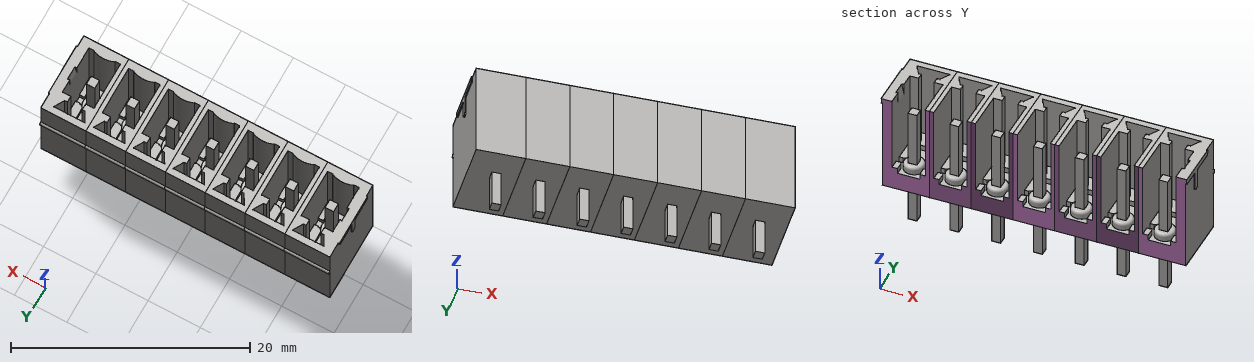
import cadquery as cq

module_count = 7
pin_row_span = 22.85
pitch = pin_row_span / (module_count - 1)
overall_length = 27.85
label_thickness = 0.1
row_length = overall_length - 2 * label_thickness
end_wall_extra = (row_length - module_count * pitch) / 2

body_depth = 7.4
body_height = 9.2
ridge_radius = 0.22
ridge_inset = 0.03
ridge_z = body_height - 3.4

pin_side = 0.8
pin_y = 2.75
pin_tail = 3.5
pin_top_z = body_height - 1.5

cavity_width = 3.0
cavity_front_y = 0.75
cavity_back_y = 5.3
cavity_floor_z = 2.23

dovetail_back_y = 6.8
dovetail_front_y = 5.88
dovetail_front_width = 1.95
neck_width = 1.42

recess_depth = 0.5
recess_floor_z = cavity_floor_z - recess_depth
cross_front_y = 2.4
cross_back_y = 3.05
channel_back_y = cavity_back_y - 0.08
throat_mouth_width = 2.28
throat_length = 0.2
front_recess_width = 2.0
recess_corner_radius = 0.1

bulge_step = 0.042
bulge_height = 0.25

collar_radius = 0.95
collar_height = 0.7
collar_fillet = 0.28

notch_front_y = 2.8
notch_back_y = 4.05
notch_depth = 0.2
notch_height = 1.0

label_y = 3.5
bar_width = 4.85
bar_height = 0.5
bar_corner_radius = 0.25
stem_width = 0.53
label_height = 2.37
stem_end_radius = 0.22
label_inner_radius = 0.15

select_margin = 0.03


def box(x_min, x_max, y_min, y_max, z_min, z_max):
    """Axis-aligned box from its limits."""
    size_x, size_y, size_z = x_max - x_min, y_max - y_min, z_max - z_min
    return cq.Workplane("XY").box(size_x, size_y, size_z, centered=False).translate((x_min, y_min, z_min))


def make_block(x_min, x_max):
    """Plain housing block with the round ridge on its back."""
    block = box(x_min, x_max, 0, body_depth, 0, body_height)
    ridge = (
        cq.Workplane("YZ", origin=(x_min, body_depth - ridge_inset, ridge_z))
        .circle(ridge_radius)
        .extrude(x_max - x_min)
    )
    return block.union(ridge)


def make_cavity():
    """Rectangular socket opening, with the front bulge left standing."""
    half_width = cavity_width / 2
    half_bulge = front_recess_width / 2
    return (
        cq.Workplane("XY", origin=(0, 0, cavity_floor_z))
        .moveTo(-half_width, cavity_front_y)
        .lineTo(-half_bulge, cavity_front_y)
        .lineTo(-half_bulge, cavity_front_y + bulge_step)
        .threePointArc((0, cavity_front_y + bulge_height), (half_bulge, cavity_front_y + bulge_step))
        .lineTo(half_bulge, cavity_front_y)
        .lineTo(half_width, cavity_front_y)
        .lineTo(half_width, cavity_back_y)
        .lineTo(-half_width, cavity_back_y)
        .close()
        .extrude(body_height - cavity_floor_z)
    )


def make_dovetail():
    """Dovetail slot whose neck opens into the back of the cavity."""
    half_back = cavity_width / 2
    half_front = dovetail_front_width / 2
    half_neck = neck_width / 2
    return (
        cq.Workplane("XY", origin=(0, 0, cavity_floor_z))
        .polyline([
            (-half_back, dovetail_back_y),
            (-half_front, dovetail_front_y),
            (-half_neck, dovetail_front_y),
            (-half_neck, cavity_back_y),
            (half_neck, cavity_back_y),
            (half_neck, dovetail_front_y),
            (half_front, dovetail_front_y),
            (half_back, dovetail_back_y),
        ])
        .close()
        .extrude(body_height - cavity_floor_z)
    )


def make_floor_recess():
    """Recess in the shape of a cross that leaves four raised pads in the cavity corners."""
    half_width = cavity_width / 2
    half_neck = neck_width / 2
    half_mouth = throat_mouth_width / 2
    half_front = front_recess_width / 2
    recess = (
        cq.Workplane("XY", origin=(0, 0, recess_floor_z))
        .moveTo(-half_front, cavity_front_y + bulge_step)
        .threePointArc((0, cavity_front_y + bulge_height), (half_front, cavity_front_y + bulge_step))
        .lineTo(half_front, cross_front_y)
        .lineTo(half_width, cross_front_y)
        .lineTo(half_width, cross_back_y)
        .lineTo(half_mouth, cross_back_y)
        .lineTo(half_neck, cross_back_y + throat_length)
        .lineTo(half_neck, channel_back_y)
        .lineTo(-half_neck, channel_back_y)
        .lineTo(-half_neck, cross_back_y + throat_length)
        .lineTo(-half_mouth, cross_back_y)
        .lineTo(-half_width, cross_back_y)
        .lineTo(-half_width, cross_front_y)
        .lineTo(-half_front, cross_front_y)
        .close()
        .extrude(recess_depth)
    )
    pad_corners = cq.selectors.BoxSelector(
        (-half_front - select_margin, cross_front_y - select_margin, recess_floor_z),
        (half_front + select_margin, cross_front_y + select_margin, cavity_floor_z),
    )
    return recess.edges("|Z").edges(pad_corners).fillet(recess_corner_radius)


def make_collar():
    """Round collar with a rounded rim, standing on the recess floor."""
    return (
        cq.Workplane("XY", origin=(0, pin_y, recess_floor_z))
        .circle(collar_radius)
        .extrude(collar_height)
        .faces(">Z")
        .edges()
        .fillet(collar_fillet)
    )


def make_pin():
    """Square pin from the tail below the housing up to its tip inside the cavity."""
    half_side = pin_side / 2
    return box(-half_side, half_side, pin_y - half_side, pin_y + half_side, -pin_tail, pin_top_z)


def make_notch():
    """Wedge cut from the +X cavity wall, deepest at the rim."""
    wall_x = cavity_width / 2
    return (
        cq.Workplane("XZ", origin=(0, notch_back_y, 0))
        .polyline([
            (wall_x, body_height - notch_height),
            (wall_x + notch_depth, body_height),
            (wall_x, body_height),
        ])
        .close()
        .extrude(notch_back_y - notch_front_y)
    )


def make_label(face_x):
    """Raised T standing on the +X end face, its bar flush with the rim."""
    half_bar = bar_width / 2
    half_stem = stem_width / 2
    label_x_max = face_x + label_thickness
    bar_bottom_z = body_height - bar_height
    label_bottom_z = body_height - label_height
    bar = box(face_x, label_x_max, label_y - half_bar, label_y + half_bar, bar_bottom_z, body_height)
    bar = bar.edges("|X and <Z").fillet(bar_corner_radius)
    stem = box(face_x, label_x_max, label_y - half_stem, label_y + half_stem, label_bottom_z, body_height)
    stem = stem.edges("|X and <Z").fillet(stem_end_radius)
    inner_corners = cq.selectors.BoxSelector(
        (face_x - select_margin, label_y - stem_width, bar_bottom_z - select_margin),
        (label_x_max + select_margin, label_y + stem_width, bar_bottom_z + select_margin),
    )
    return bar.union(stem).edges("|X").edges(inner_corners).fillet(label_inner_radius)


def make_module(x_min, x_max):
    """Housing block with its socket, collar and pin; the pin axis is at x = 0."""
    module = make_block(x_min, x_max)
    module = module.cut(make_cavity()).cut(make_dovetail()).cut(make_floor_recess())
    return module.union(make_collar()).union(make_pin())


def make_end_module():
    """Module for the +X end: thicker outer wall, wall notch and raised label."""
    face_x = pitch / 2 + end_wall_extra
    return make_module(-pitch / 2, face_x).cut(make_notch()).union(make_label(face_x))


def place(module, index):
    """Move a module to its position in the row, which is centred on x = 0."""
    return module.translate(((index - (module_count - 1) / 2) * pitch, 0, 0))


middle_module = make_module(-pitch / 2, pitch / 2)
right_end_module = make_end_module()
left_end_module = right_end_module.mirror("YZ")

modules = [place(left_end_module, 0)]
for index in range(1, module_count - 1):
    modules.append(place(middle_module, index))
modules.append(place(right_end_module, module_count - 1))

result = cq.Compound.makeCompound([module.val() for module in modules])